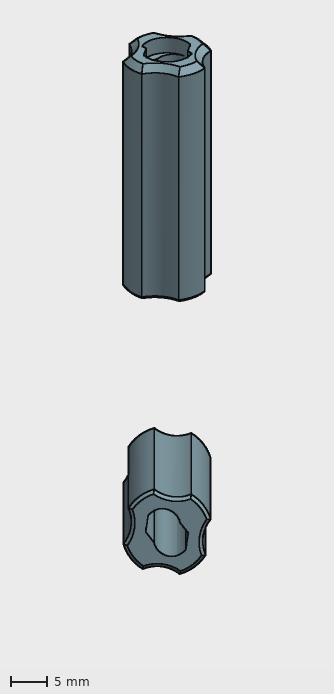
import cadquery as cq
import math

LENGTH = 36.25
BODY_RADIUS = 6.25
FLUTE_RADIUS = 5.0
FLUTE_CENTER_DISTANCE = 10.0
TOP_CHAMFER = 1.0
BOTTOM_CHAMFER = 0.5

SOCKET_RADIUS = 7.1 / 2
SOCKET_DEPTH = 2.4
KEY_DIAGONAL_DISTANCE = 2.9
KEY_STEP_Y = 2.13
BORE_KEY_X = 2.27
BORE_LOBE_RADIUS = 2.5
BORE_LOBE_OFFSET = 1.1

DIAGONAL_SUM = KEY_DIAGONAL_DISTANCE * math.sqrt(2)


def half_turn(point):
    return (-point[0], -point[1])


def quarter_turns(point, count):
    x, y = point
    for _ in range(count):
        x, y = -y, x
    return (x, y)


def diagonal_meets_circle(radius, center_y):
    """Left-hand point where the diagonal face x + y = DIAGONAL_SUM cuts a circle on the Y axis."""
    distance = (DIAGONAL_SUM - center_y) / math.sqrt(2)
    half_chord = math.sqrt(radius**2 - distance**2)
    x = (distance - half_chord) / math.sqrt(2)
    return (x, DIAGONAL_SUM - x)


def make_body():
    flute_half_angle = math.acos(
        (BODY_RADIUS**2 + FLUTE_CENTER_DISTANCE**2 - FLUTE_RADIUS**2)
        / (2 * BODY_RADIUS * FLUTE_CENTER_DISTANCE)
    )
    lobe_half_angle = math.pi / 4 - flute_half_angle
    lobe_x = BODY_RADIUS * math.cos(lobe_half_angle)
    lobe_half_width = BODY_RADIUS * math.sin(lobe_half_angle)
    lobe_start = (lobe_x, -lobe_half_width)
    lobe_tip = (BODY_RADIUS, 0)
    lobe_end = (lobe_x, lobe_half_width)
    flute_coordinate = (FLUTE_CENTER_DISTANCE - FLUTE_RADIUS) / math.sqrt(2)
    flute_bottom = (flute_coordinate, flute_coordinate)

    outline = cq.Workplane("XY").moveTo(*lobe_start)
    for turn in range(4):
        outline = outline.threePointArc(quarter_turns(lobe_tip, turn), quarter_turns(lobe_end, turn))
        outline = outline.threePointArc(
            quarter_turns(flute_bottom, turn), quarter_turns(lobe_start, turn + 1)
        )
    body = outline.close().extrude(LENGTH)
    body = body.faces(">Z").edges().chamfer(TOP_CHAMFER)
    return body.faces("<Z").edges().chamfer(BOTTOM_CHAMFER)


def make_socket():
    """Round socket at the top, narrowed by two opposite keys."""
    diagonal_start = diagonal_meets_circle(SOCKET_RADIUS, 0)
    key_corner = (DIAGONAL_SUM - KEY_STEP_Y, KEY_STEP_Y)
    step_end = (math.sqrt(SOCKET_RADIUS**2 - KEY_STEP_Y**2), KEY_STEP_Y)
    arc_middle = (SOCKET_RADIUS / math.sqrt(2), -SOCKET_RADIUS / math.sqrt(2))
    return (
        cq.Workplane("XY", origin=(0, 0, LENGTH - SOCKET_DEPTH))
        .moveTo(*diagonal_start)
        .lineTo(*key_corner)
        .lineTo(*step_end)
        .threePointArc(arc_middle, half_turn(diagonal_start))
        .lineTo(*half_turn(key_corner))
        .lineTo(*half_turn(step_end))
        .threePointArc(half_turn(arc_middle), diagonal_start)
        .close()
        .extrude(SOCKET_DEPTH)
    )


def make_bore():
    """Two-lobed bore along the whole length, kept inside the socket circle.

    It is bounded by the same diagonal faces as the socket.
    """
    diagonal_start = diagonal_meets_circle(BORE_LOBE_RADIUS, BORE_LOBE_OFFSET)
    key_corner = (BORE_KEY_X, DIAGONAL_SUM - BORE_KEY_X)
    lobe_start_y = math.sqrt(BORE_LOBE_RADIUS**2 - BORE_KEY_X**2) - BORE_LOBE_OFFSET
    lobe_start = (BORE_KEY_X, lobe_start_y)
    lobe_side = (BORE_LOBE_RADIUS, -BORE_LOBE_OFFSET)
    lobes = (
        cq.Workplane("XY")
        .moveTo(*diagonal_start)
        .lineTo(*key_corner)
        .lineTo(*lobe_start)
        .threePointArc(lobe_side, half_turn(diagonal_start))
        .lineTo(*half_turn(key_corner))
        .lineTo(*half_turn(lobe_start))
        .threePointArc(half_turn(lobe_side), diagonal_start)
        .close()
        .extrude(LENGTH)
    )
    socket_cylinder = cq.Workplane("XY").circle(SOCKET_RADIUS).extrude(LENGTH)
    return lobes.intersect(socket_cylinder)


bore = make_bore()
socket_recesses = make_socket().cut(bore)
result = make_body().cut(bore).cut(socket_recesses, clean=False).solids()